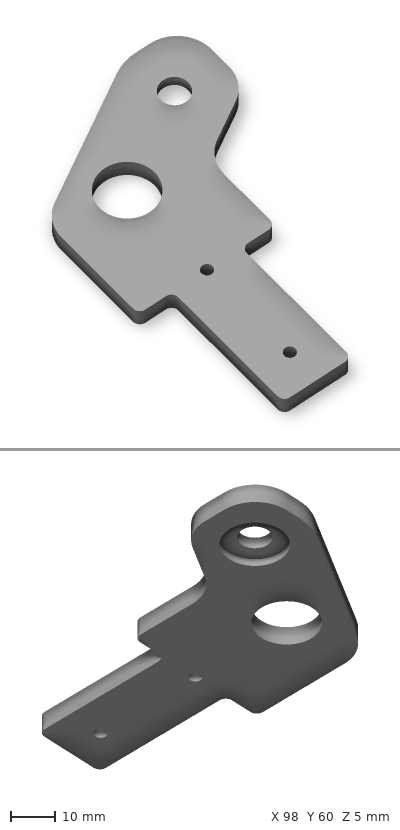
import cadquery as cq
import math

length = 98.0
height = 60.0
thickness = 5.0

body_right = 58.0
body_top = 40.0
center_y = body_top / 2
tab_width = 20.0
tab_bottom = center_y - tab_width / 2
tab_top = center_y + tab_width / 2

arm_angle = math.radians(60)
arm_half_width = 14.0
pivot_x = arm_half_width
pivot_y = 46.0

large_radius = 10.0
small_radius = 2.0

pivot_diameter = 8.0
recess_diameter = 16.1
lip_thickness = 3.0
main_hole_x = 29.1
main_hole_diameter = 16.1
screw_diameter = 3.2
screw_spacing = 30.0


def arm_edge_x(y, side):
    """X at height y on the arm's left (side = -1) or right (side = 1) edge."""
    edge_offset = side * arm_half_width / math.sin(arm_angle)
    return pivot_x + edge_offset + (pivot_y - y) / math.tan(arm_angle)


left_edge_bottom = pivot_y + arm_edge_x(pivot_y, -1) * math.tan(arm_angle)

corners = [
    (arm_edge_x(0, -1), 0, large_radius),
    (body_right, 0, small_radius),
    (body_right, tab_bottom, small_radius),
    (length, tab_bottom, small_radius),
    (length, tab_top, small_radius),
    (body_right, tab_top, small_radius),
    (body_right, body_top, small_radius),
    (arm_edge_x(body_top, 1), body_top, large_radius),
    (arm_edge_x(height, 1), height, large_radius),
    (0, height, large_radius),
    (0, left_edge_bottom, arm_half_width),
]

plate = cq.Workplane("XY").polyline([(x, y) for x, y, _ in corners]).close().extrude(thickness)
for x, y, radius in corners:
    nearest = cq.selectors.NearestToPointSelector((x, y, thickness / 2))
    plate = plate.edges("|Z").edges(nearest).fillet(radius)

holes = [
    (pivot_x, pivot_y, pivot_diameter),
    (main_hole_x, center_y, main_hole_diameter),
    (body_right, center_y, screw_diameter),
    (body_right + screw_spacing, center_y, screw_diameter),
]
for x, y, diameter in holes:
    plate = plate.cut(cq.Workplane("XY").center(x, y).circle(diameter / 2).extrude(thickness))

recess_depth = thickness - lip_thickness
recess = cq.Workplane("XY").center(pivot_x, pivot_y).circle(recess_diameter / 2).extrude(recess_depth)

result = plate.cut(recess)